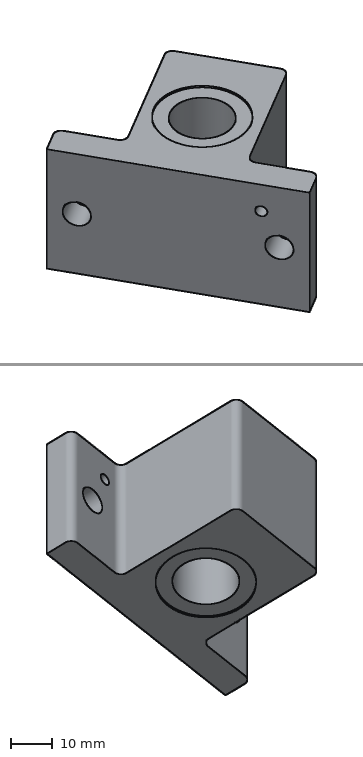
import cadquery as cq

plate_width = 65.0
total_depth = 45.0
height = 36.0
plate_thickness = 8.0
housing_width = 30.0
corner_radius = 2.0

bore_diameter = 16.0
bore_from_front = 22.05
recess_diameter = 24.0
recess_depth = 0.5

mount_hole_diameter = 7.0
mount_hole_spacing = 50.05
pin_hole_diameter = 3.0
pin_hole_x = 20.55
pin_hole_rise = 10.0


def make_body():
    """T-shaped block with every vertical edge rounded except the two front ones."""
    plate = cq.Workplane("XY").box(plate_width, plate_thickness, height, centered=(True, False, False))
    housing = cq.Workplane("XY").box(housing_width, total_depth, height, centered=(True, False, False))
    return plate.union(housing).edges("|Z").edges("not <Y").fillet(corner_radius)


def vertical_cylinder(diameter, bottom, length):
    """Cylinder on the bore axis, starting at the given height."""
    return (
        cq.Workplane("XY", origin=(0, bore_from_front, bottom))
        .circle(diameter / 2)
        .extrude(length)
    )


def plate_hole(diameter, x, z):
    """Cylinder running front to back through the plate."""
    return (
        cq.Workplane("XZ", origin=(x, 0, z))
        .circle(diameter / 2)
        .extrude(-plate_thickness)
    )


result = make_body()

result = result.cut(vertical_cylinder(bore_diameter, 0, height))
for recess_bottom in (0, height - recess_depth):
    result = result.cut(vertical_cylinder(recess_diameter, recess_bottom, recess_depth))

for side in (-1, 1):
    result = result.cut(plate_hole(mount_hole_diameter, side * mount_hole_spacing / 2, height / 2))
result = result.cut(plate_hole(pin_hole_diameter, pin_hole_x, height / 2 + pin_hole_rise))